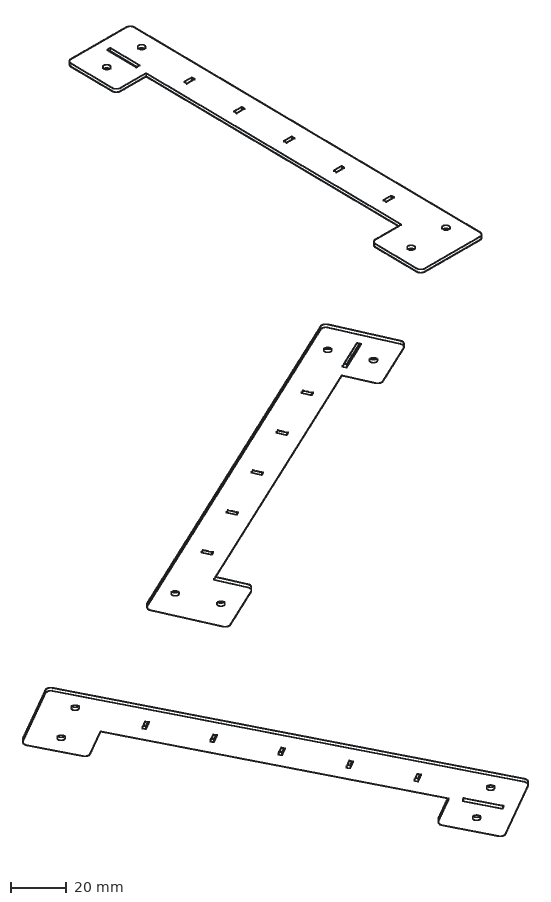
import cadquery as cq

length = 180
width = 31.7
thickness = 1.5
corner_radius = 2.0

foot_length = 25.0
band_width = 16.7

hole_diameter = 2.9
upper_hole_from_back = 6.7
hole_pair_spacing = 17.5

short_slot_count = 5
short_slot_pitch = 25.4
short_slot_width = 1.5
short_slot_length = 4.0
short_slot_row_from_back = 8.8
short_slot_row_shift = -0.2

long_slot_length = 15.0
long_slot_width = 1.6
long_slot_from_back = 15.8

back_edge = width / 2
foot_center_x = (length - foot_length) / 2


def box_cutter(size_x, size_y, center_x, center_y):
    """Rectangular cutter through the whole plate thickness."""
    return (
        cq.Workplane("XY")
        .center(center_x, center_y)
        .rect(size_x, size_y)
        .extrude(thickness)
    )


def make_plate():
    """U-shaped plate with rounded outer corners and square notch corners."""
    notch_length = length - 2 * foot_length
    notch_depth = width - band_width
    notch = box_cutter(notch_length, notch_depth, 0, (notch_depth - width) / 2)
    plate = cq.Workplane("XY").rect(length, width).extrude(thickness).cut(notch)
    back_corners = plate.faces(">Y").edges("|Z")
    front_corners = plate.faces("<Y").edges("|Z")
    return plate.newObject(back_corners.vals() + front_corners.vals()).fillet(corner_radius)


def make_hole_cutters():
    """Cylinders for the four mounting holes."""
    upper_y = back_edge - upper_hole_from_back
    centers = [
        (x, y)
        for x in (-foot_center_x, foot_center_x)
        for y in (upper_y, upper_y - hole_pair_spacing)
    ]
    return cq.Workplane("XY").pushPoints(centers).circle(hole_diameter / 2).extrude(thickness)


def make_short_slot_cutters():
    """Evenly spaced row of slots running across the band."""
    return (
        cq.Workplane("XY")
        .center(short_slot_row_shift, back_edge - short_slot_row_from_back)
        .rarray(short_slot_pitch, 1.8, short_slot_count, 1)
        .rect(short_slot_width, short_slot_length)
        .extrude(thickness)
    )


long_slot = box_cutter(
    long_slot_length, long_slot_width, -foot_center_x, back_edge - long_slot_from_back
)

result = make_plate().cut(make_hole_cutters()).cut(make_short_slot_cutters()).cut(long_slot)